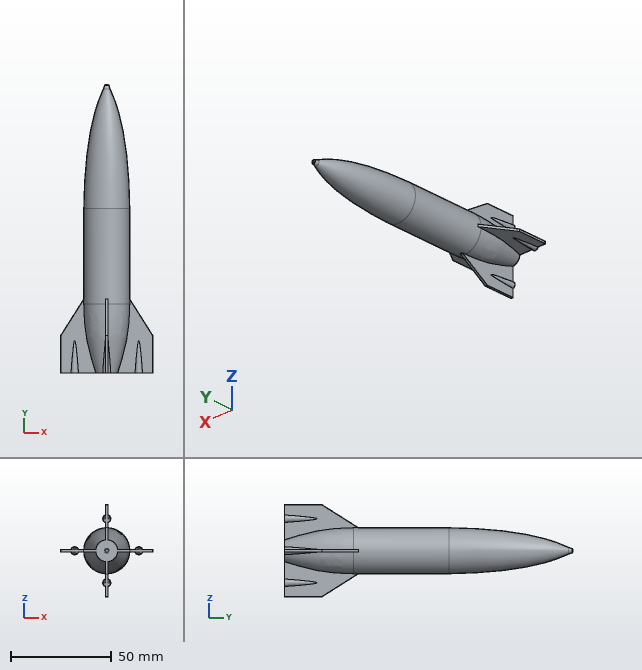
import cadquery as cq

length = 143.7
body_radius = 11.5
tail_radius = 5.5
nose_tip_radius = 1.1
nose_tip_bevel = 0.5
tail_length = 34.5
nose_start = 81.9

fin_span = 45.8
fin_thickness = 1.5
fin_root_length = 36.8
fin_tip_length = 18.7

pod_offset = 16.0
pod_radius = 2.0
pod_length = 23.0
pod_mid_radius = 1.1

fin_count = 4
fin_step = 360 / fin_count

tail_curve = [(7.2, 5.3), (8.6, 10.9), (10.0, 17.2), (10.9, 23.7), (body_radius, tail_length)]
nose_curve = [(10.8, 99.7), (9.5, 112.5), (7.8, 122.5), (5.0, 133.0), (1.7, 141.4)]
barrel_direction = (0, 1)
tip_direction = (-1, 2)


def make_body():
    """Revolve the fuselage outline about the rocket axis."""
    outline = (
        cq.Workplane("XY")
        .lineTo(tail_radius, 0)
        .spline(tail_curve, includeCurrent=True)
        .lineTo(body_radius, nose_start)
        .spline(nose_curve, tangents=[barrel_direction, tip_direction], includeCurrent=True)
        .lineTo(nose_tip_radius, length - nose_tip_bevel)
        .lineTo(nose_tip_radius - nose_tip_bevel, length)
        .lineTo(0, length)
        .close()
    )
    return outline.revolve(360, (0, 0, 0), (0, 1, 0))


def make_fin():
    """Clipped swept plate from the axis out to the +X fin tip."""
    return (
        cq.Workplane("XY")
        .polyline([
            (0, 0),
            (fin_span / 2, 0),
            (fin_span / 2, fin_tip_length),
            (body_radius, fin_root_length),
            (0, fin_root_length),
        ])
        .close()
        .extrude(fin_thickness / 2, both=True)
    )


def make_pod():
    """Slender pointed pod centred in the fin, with its flat end at the tail."""
    return (
        cq.Workplane("XY")
        .center(pod_offset, 0)
        .lineTo(pod_radius, 0)
        .threePointArc((pod_mid_radius, pod_length / 2), (0, pod_length))
        .close()
        .revolve(360, (0, 0, 0), (0, 1, 0))
    )


result = make_body()
finned_pod = make_fin().union(make_pod())
for index in range(fin_count):
    result = result.union(finned_pod.rotate((0, 0, 0), (0, 1, 0), index * fin_step))